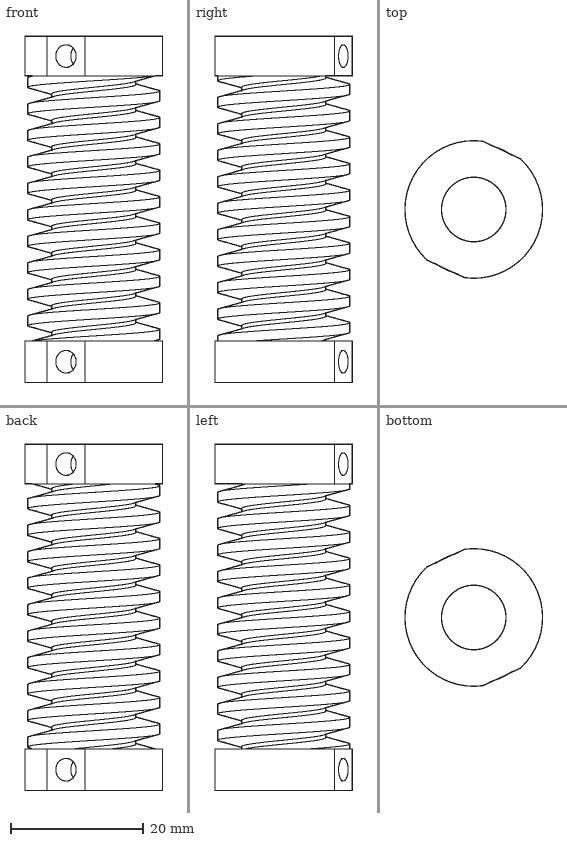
import cadquery as cq
import math

pitch = 4.0
turns = 10
thread_length = pitch * turns
crest_radius = 10.0
crest_width = 1.46
flank_angle = 15.0
crest_start_angle = -90.0

bore_diameter = 9.72
core_wall = 1.5
root_radius = bore_diameter / 2 + core_wall

collar_diameter = 20.83
bottom_collar_height = 6.34
top_collar_height = 6.0
flat_distance = 9.93
flat_tilt = -25.0
cross_hole_diameter = 3.4

thread_bottom = bottom_collar_height
thread_top = thread_bottom + thread_length
total_height = thread_top + top_collar_height

root_overlap = 0.3


def collar(height):
    """Round collar with two opposite flats and a cross hole square to them."""
    disc = cq.Workplane("XY").circle(collar_diameter / 2).extrude(height)
    between_flats = cq.Workplane("XY").box(
        collar_diameter, 2 * flat_distance, height, centered=(True, True, False)
    )
    cross_hole = (
        cq.Workplane("XZ")
        .center(0, height / 2)
        .circle(cross_hole_diameter / 2)
        .extrude(collar_diameter / 2, both=True)
    )
    body = disc.intersect(between_flats).cut(cross_hole)
    return body.rotate((0, 0, 0), (0, 0, 1), flat_tilt)


def thread_ridge():
    """Helical ridge, one turn over-long at each end, trimmed to the thread length."""
    inner_radius = root_radius - root_overlap
    flank_slope = math.tan(math.radians(flank_angle))
    half_crest = crest_width / 2
    half_base = half_crest + (crest_radius - inner_radius) * flank_slope

    path = cq.Wire.makeHelix(pitch, thread_length + 2 * pitch, inner_radius)
    ridge = (
        cq.Workplane("XZ")
        .moveTo(inner_radius, -half_base)
        .lineTo(crest_radius, -half_crest)
        .lineTo(crest_radius, half_crest)
        .lineTo(inner_radius, half_base)
        .close()
        .sweep(cq.Workplane(obj=path), isFrenet=True)
        .rotate((0, 0, 0), (0, 0, 1), crest_start_angle)
        .translate((0, 0, -pitch))
    )
    envelope = cq.Workplane("XY").circle(collar_diameter / 2).extrude(thread_length)
    return ridge.intersect(envelope)


core = cq.Workplane("XY").circle(root_radius).extrude(thread_length)
thread = core.union(thread_ridge()).translate((0, 0, thread_bottom))
bottom_collar = collar(bottom_collar_height)
top_collar = collar(top_collar_height).translate((0, 0, thread_top))
bore = cq.Workplane("XY").circle(bore_diameter / 2).extrude(total_height)

result = thread.union(bottom_collar).union(top_collar).cut(bore)